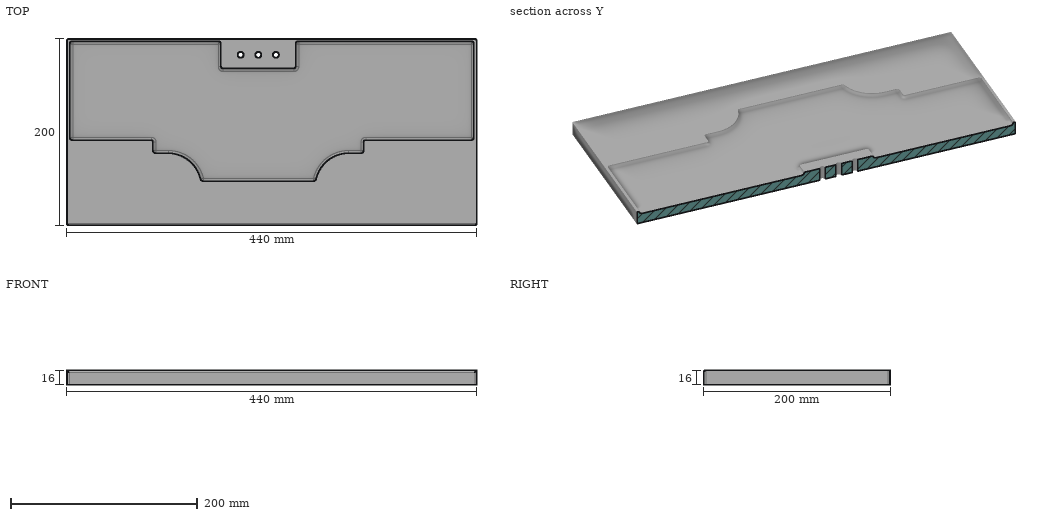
import cadquery as cq
import math

length = 440.0
width = 200.0
thickness = 16.0
plate_corner_radius = 2.4
front_edge_radius = 2.4

recess_depth = 3.3
floor_fillet = 3.15
inward_corner_radius = 3.0
outward_corner_radius = 2.0
side_rim = 3.0
back_rim = 2.4

center_x = -14.5

wing_front = 108.5
bay_step = 122.8
bay_front = 152.5
bay_half_width = 113.0
scoop_start_half_width = 97.0
scoop_radius = 35.5

pad_half_width = 40.0
pad_front = 31.5
hole_diameter = 6.0
hole_pitch = 19.0
hole_count = 3
hole_from_back = 17.0

match_tolerance = 0.005

back_y = width / 2
front_y = -width / 2


def make_plate():
    plate = cq.Workplane("XY").box(length, width, thickness, centered=(True, True, False))
    return plate.edges("|Z").fillet(plate_corner_radius)


def make_front_edge_waste():
    """The strip outside the rounding of the front top edge."""
    arc_inset = front_edge_radius * (1 - math.sqrt(0.5))
    return (
        cq.Workplane("YZ", origin=(-length / 2, 0, 0))
        .moveTo(front_y, thickness - front_edge_radius)
        .threePointArc(
            (front_y + arc_inset, thickness - arc_inset),
            (front_y + front_edge_radius, thickness),
        )
        .lineTo(front_y, thickness)
        .close()
        .extrude(length)
    )


def recess_point(side, half_width, from_back):
    """Point left (side -1) or right (side 1) of the center line."""
    return (center_x + side * half_width, back_y - from_back)


def scoop_point(side, angle):
    """Point on the scoop arc, at an angle from where it leaves the bay step."""
    return recess_point(
        side,
        scoop_start_half_width - scoop_radius * math.sin(angle),
        bay_step + scoop_radius * (1 - math.cos(angle)),
    )


def recess_outline():
    left_x = -length / 2 + side_rim
    right_x = length / 2 - side_rim
    scoop_angle = math.acos(1 - (bay_front - bay_step) / scoop_radius)
    return (
        cq.Workplane("XY", origin=(0, 0, thickness - recess_depth))
        .moveTo(left_x, back_y - back_rim)
        .lineTo(left_x, back_y - wing_front)
        .lineTo(*recess_point(-1, bay_half_width, wing_front))
        .lineTo(*recess_point(-1, bay_half_width, bay_step))
        .lineTo(*recess_point(-1, scoop_start_half_width, bay_step))
        .threePointArc(scoop_point(-1, scoop_angle / 2), scoop_point(-1, scoop_angle))
        .lineTo(*scoop_point(1, scoop_angle))
        .threePointArc(scoop_point(1, scoop_angle / 2), scoop_point(1, 0))
        .lineTo(*recess_point(1, bay_half_width, bay_step))
        .lineTo(*recess_point(1, bay_half_width, wing_front))
        .lineTo(right_x, back_y - wing_front)
        .lineTo(right_x, back_y - back_rim)
        .lineTo(*recess_point(1, pad_half_width, back_rim))
        .lineTo(*recess_point(1, pad_half_width, pad_front))
        .lineTo(*recess_point(-1, pad_half_width, pad_front))
        .lineTo(*recess_point(-1, pad_half_width, back_rim))
        .close()
    )


def make_recess():
    """The recess volume, with rounded corners and a fillet around its floor."""
    recess = recess_outline().extrude(recess_depth)
    outward_corners = []
    smooth_joints = []
    for side in (-1, 1):
        outward_corners.append(recess_point(side, bay_half_width, wing_front))
        outward_corners.append(recess_point(side, pad_half_width, pad_front))
        smooth_joints.append(scoop_point(side, 0))

    def stands_at(edge, points):
        center = edge.Center()
        return any(math.dist((center.x, center.y), point) < match_tolerance for point in points)

    uprights = recess.edges("|Z").vals()
    outward = [e for e in uprights if stands_at(e, outward_corners)]
    inward = [e for e in uprights if not stands_at(e, outward_corners + smooth_joints)]
    recess = recess.newObject(outward).fillet(outward_corner_radius)
    recess = recess.newObject(inward).fillet(inward_corner_radius)
    return recess.faces("<Z").edges().fillet(floor_fillet)


def make_holes():
    return (
        cq.Workplane("XY", origin=(center_x, back_y - hole_from_back, 0))
        .rarray(hole_pitch, 4.5, hole_count, 1)
        .circle(hole_diameter / 2)
        .extrude(thickness)
    )


result = make_plate().cut(make_front_edge_waste()).cut(make_recess()).cut(make_holes())